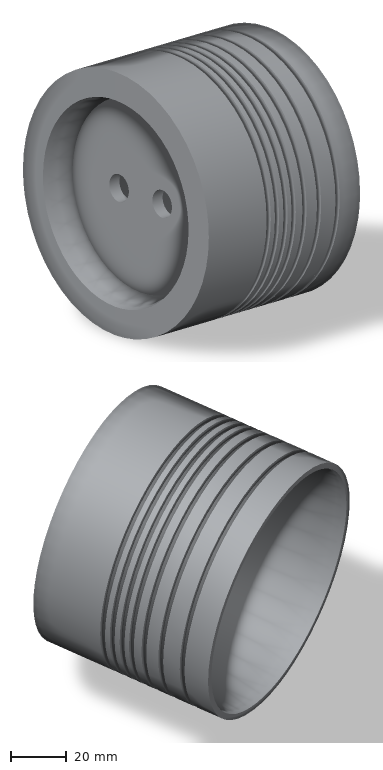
import cadquery as cq

outer_diameter = 100.5
length = 73.7
end_crown = 0.3

groove_depth = 2.0
groove_width = 2.0
groove_starts = (28.2, 32.3, 36.4, 40.3, 45.5, 52.6, 61.5)

front_mouth_diameter = 78.8
front_floor_diameter = 73.6
front_depth = 12.3
web_thickness = 4.9
rear_floor_diameter = 83.4
rear_mouth_diameter = 95.9
hole_diameter = 10.6
hole_spacing = 23.3

outer_radius = outer_diameter / 2
front_y = -length / 2
rear_y = length / 2
web_front_y = front_y + front_depth
web_rear_y = web_front_y + web_thickness


def make_body():
    """Cylinder whose two end faces are very shallow roofs with a ridge along Z."""
    roofed_bar = (
        cq.Workplane("XY")
        .polyline(
            [
                (0, front_y),
                (outer_radius, front_y + end_crown),
                (outer_radius, rear_y - end_crown),
                (0, rear_y),
                (-outer_radius, rear_y - end_crown),
                (-outer_radius, front_y + end_crown),
            ]
        )
        .close()
        .extrude(outer_radius, both=True)
    )
    cylinder = cq.Workplane("XZ", origin=(0, rear_y, 0)).circle(outer_radius).extrude(length)
    return cylinder.intersect(roofed_bar)


def make_groove(start):
    """Square-bottomed ring cut around the body."""
    return (
        cq.Workplane("XZ", origin=(0, front_y + start, 0))
        .circle(outer_radius + groove_depth)
        .circle(outer_radius - groove_depth)
        .extrude(-groove_width)
    )


def make_recess(mouth_y, mouth_diameter, floor_y, floor_diameter):
    """Tapered round recess, revolved about the Y axis."""
    return (
        cq.Workplane("YZ")
        .polyline(
            [
                (mouth_y, 0),
                (mouth_y, -mouth_diameter / 2),
                (floor_y, -floor_diameter / 2),
                (floor_y, 0),
            ]
        )
        .close()
        .revolve(360, (0, 0, 0), (1, 0, 0))
    )


def make_web_holes():
    """Pair of holes through the web, side by side along X."""
    return (
        cq.Workplane("XZ", origin=(0, web_rear_y, 0))
        .pushPoints([(-hole_spacing / 2, 0), (hole_spacing / 2, 0)])
        .circle(hole_diameter / 2)
        .extrude(web_thickness)
    )


result = make_body()
for groove_start in groove_starts:
    result = result.cut(make_groove(groove_start))
result = result.cut(make_recess(front_y, front_mouth_diameter, web_front_y, front_floor_diameter))
result = result.cut(make_recess(rear_y, rear_mouth_diameter, web_rear_y, rear_floor_diameter))
result = result.cut(make_web_holes())